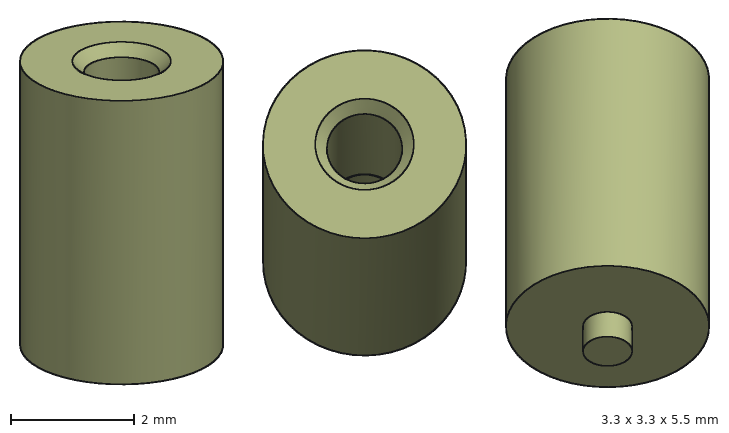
import cadquery as cq

total_height = 5.5
body_diameter = 3.3
pin_diameter = 0.8
pin_length = 0.5
upper_bore_diameter = 1.22
upper_bore_depth = 2.75
lower_bore_diameter = 1.2
lower_bore_depth = 3.3
countersink_diameter = 1.6

countersink_depth = (countersink_diameter - upper_bore_diameter) / 2
body_height = total_height - pin_length


def bore(diameter, depth):
    """Round blind bore of the given depth below the top face."""
    top_plane = cq.Workplane("XY").workplane(offset=body_height)
    return top_plane.circle(diameter / 2).extrude(-depth)


body = cq.Workplane("XY").circle(body_diameter / 2).extrude(body_height)
pin = cq.Workplane("XY").circle(pin_diameter / 2).extrude(-pin_length)

countersink = cq.Workplane("XY").add(
    cq.Solid.makeCone(
        upper_bore_diameter / 2,
        countersink_diameter / 2,
        countersink_depth,
        pnt=cq.Vector(0, 0, body_height - countersink_depth),
    )
)

result = (
    body.union(pin)
    .cut(bore(lower_bore_diameter, lower_bore_depth))
    .cut(bore(upper_bore_diameter, upper_bore_depth))
    .cut(countersink)
)